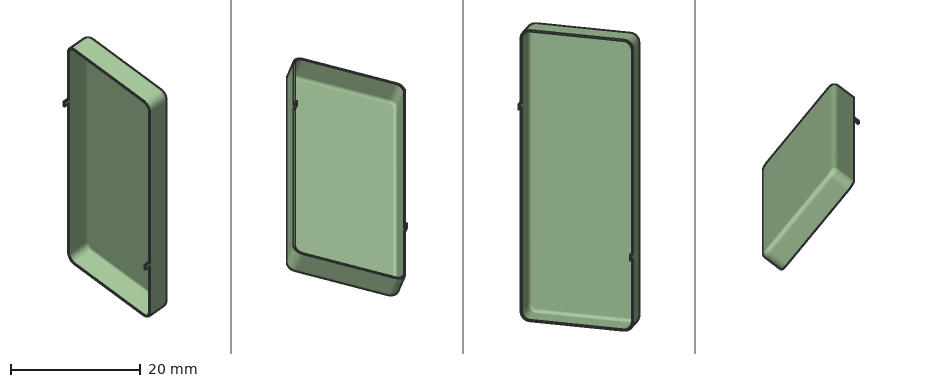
import cadquery as cq

width = 18.2
height = 47.7
total_depth = 5.0
tab_length = 1.0
tray_depth = total_depth - tab_length
wall = 0.3
corner_radius = 1.57
back_edge_radius = 0.8

tab_height = 0.9
tab_offset = 11.45
tab_root = 0.3

rim_y = tab_length - total_depth / 2


def rounded_block(inset):
    """Block with rounded corners and back edge, inset from the tray's sides and back."""
    depth = tray_depth - inset
    return (
        cq.Workplane("XY")
        .box(width - 2 * inset, depth, height - 2 * inset)
        .edges("|Y")
        .fillet(corner_radius - inset)
        .faces(">Y")
        .edges()
        .fillet(back_edge_radius - inset)
        .translate((0, rim_y + depth / 2, 0))
    )


def rim_tab(side):
    """Tab flush with the outer wall; side is -1 for the -X wall and +1 for the +X wall."""
    length = tab_length + tab_root
    center_x = side * (width - wall) / 2
    center_y = rim_y + tab_root - length / 2
    center_z = -side * tab_offset
    return cq.Workplane("XY").box(wall, length, tab_height).translate((center_x, center_y, center_z))


result = rounded_block(0).cut(rounded_block(wall))
for side in (-1, 1):
    result = result.union(rim_tab(side))